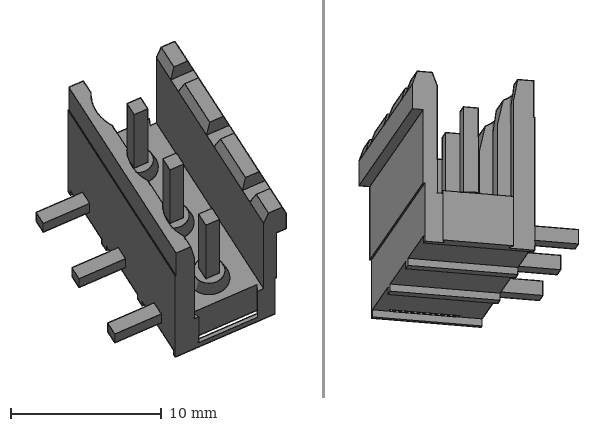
import cadquery as cq


overall_length = 15.74
dovetail_depth = 0.5
body_length = overall_length - dovetail_depth
pole_count = 3
pitch = body_length / pole_count
row_offset = 0.05
height = 12.0
floor_height = 3.5

front_inner_y = 1.46
front_step_y = 0.06
front_step_z = 9.4
front_top_inner_y = 1.16
front_bevel_z = 10.39

back_lower_y = 7.51
back_upper_y = 7.62
back_step_z = 4.12
back_inner_y = 6.65
hook_y = 8.36
hook_bottom_z = 9.3
hook_bevel_z = 11.05
hook_top_outer_y = 8.03
hook_top_inner_y = 7.0

pin_size = 1.02
pin_y = 3.85
pin_top_z = 10.53
tail_length = 3.5
tail_z = 2.0
collar_top_z = 4.35
collar_base_radius = 1.39
collar_top_radius = 1.05

scallop_radius = 3.09
valley_bottom_width = 1.05
valley_top_width = 1.55
foot_width = 0.33
foot_height = 0.5

dovetail_tip_width = 4.83
dovetail_root_width = 4.42
dovetail_y = 3.98

pole_positions = [(i + 0.5) * pitch + row_offset for i in range(pole_count)]


def make_housing():
    """U-shaped cross-section swept along X."""
    profile = [
        (0, 0),
        (back_lower_y, 0),
        (back_lower_y, back_step_z),
        (back_upper_y, back_step_z),
        (back_upper_y, hook_bottom_z),
        (hook_y, hook_bottom_z),
        (hook_y, hook_bevel_z),
        (hook_top_outer_y, height),
        (hook_top_inner_y, height),
        (back_inner_y, hook_bevel_z),
        (back_inner_y, floor_height),
        (front_inner_y, floor_height),
        (front_inner_y, front_bevel_z),
        (front_top_inner_y, height),
        (front_step_y, height),
        (front_step_y, front_step_z),
        (0, front_step_z),
    ]
    return cq.Workplane("YZ").polyline(profile).close().extrude(body_length)


def make_dovetail(face_x, bottom_z):
    """Dovetail standing left of face_x, from bottom_z up to the floor."""
    tip = dovetail_tip_width / 2
    root = dovetail_root_width / 2
    outline = [
        (face_x, dovetail_y - root),
        (face_x - dovetail_depth, dovetail_y - tip),
        (face_x - dovetail_depth, dovetail_y + tip),
        (face_x, dovetail_y + root),
    ]
    return (
        cq.Workplane("XY", origin=(0, 0, bottom_z))
        .polyline(outline)
        .close()
        .extrude(floor_height - bottom_z)
    )


def make_scallop(x):
    """Round clearance in the front wall, open from the floor to the top."""
    disc = (
        cq.Workplane("XY", origin=(x, pin_y, floor_height))
        .circle(scallop_radius)
        .extrude(height - floor_height)
    )
    front_half = cq.Workplane("XY").box(body_length, pin_y, height, centered=False)
    return disc.intersect(front_half)


def make_valley(x):
    """Trapezoidal notch across the top of the latch hook."""
    outline = [
        (x - valley_bottom_width / 2, hook_bevel_z),
        (x + valley_bottom_width / 2, hook_bevel_z),
        (x + valley_top_width / 2, height),
        (x - valley_top_width / 2, height),
    ]
    return (
        cq.Workplane("XZ", origin=(0, hook_y, 0))
        .polyline(outline)
        .close()
        .extrude(hook_y - back_inner_y)
    )


def make_underside_recess(x):
    """Recess in the underside that leaves narrow feet between the poles."""
    return cq.Workplane("XY", origin=(x, hook_y / 2, 0)).box(
        pitch - 2 * foot_width, hook_y, foot_height, centered=(True, True, False)
    )


def make_pin(x):
    """Angled square pin: upright contact, tapered collar and front tail."""
    contact = (
        cq.Workplane("XY", origin=(x, pin_y, tail_z))
        .rect(pin_size, pin_size)
        .extrude(pin_top_z - tail_z)
    )
    tail = (
        cq.Workplane("XZ", origin=(x, pin_y, tail_z))
        .rect(pin_size, pin_size)
        .extrude(pin_y + tail_length)
    )
    collar = (
        cq.Workplane("XY", origin=(x, pin_y, floor_height))
        .circle(collar_base_radius)
        .workplane(offset=collar_top_z - floor_height)
        .circle(collar_top_radius)
        .loft()
    )
    return contact.union(tail).union(collar)


result = make_housing()
for pole_x in pole_positions:
    result = result.cut(make_scallop(pole_x))
    result = result.cut(make_valley(pole_x))
    result = result.cut(make_underside_recess(pole_x))

socket = make_dovetail(body_length, foot_height)
result = result.cut(socket).union(make_dovetail(0, 0))

for pole_x in pole_positions:
    result = result.union(make_pin(pole_x))